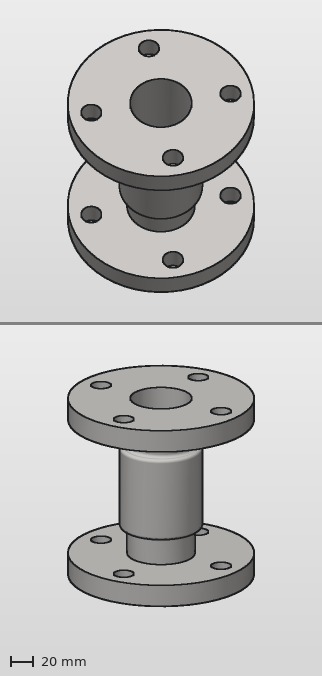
import cadquery as cq

overall_length = 166.0
flange_diameter = 165.0
flange_thickness = 20.0

pipe_diameter = 60.3
pipe_wall = 2.9
bore_diameter = pipe_diameter - 2 * pipe_wall

sleeve_diameter = 73.7
sleeve_length = 76.0
sleeve_round_radius = 3.0

bolt_circle_diameter = 125.0
bolt_hole_diameter = 18.0
bolt_count = 4
first_bolt_angle = 45.0


def cylinder(diameter, bottom, height):
    """Solid cylinder on the Z axis, starting at the given height."""
    return cq.Workplane("XY").workplane(offset=bottom).circle(diameter / 2).extrude(height)


def sleeved_pipe():
    """Pipe between the flanges with its sleeve, rounded at the sleeve's outer edges and roots."""
    pipe_length = overall_length - 2 * flange_thickness
    pipe = cylinder(pipe_diameter, -pipe_length / 2, pipe_length)
    sleeve = cylinder(sleeve_diameter, -sleeve_length / 2, sleeve_length)
    shoulder_edges = "%CIRCLE and (not >Z) and (not <Z)"
    return pipe.union(sleeve).edges(shoulder_edges).fillet(sleeve_round_radius)


def flange(bottom):
    """Flat round flange with its ring of bolt holes."""
    bolt_holes = (
        cq.Workplane("XY")
        .workplane(offset=bottom)
        .polarArray(bolt_circle_diameter / 2, first_bolt_angle, 360, bolt_count)
        .circle(bolt_hole_diameter / 2)
        .extrude(flange_thickness)
    )
    return cylinder(flange_diameter, bottom, flange_thickness).cut(bolt_holes)


body = sleeved_pipe()
for flange_bottom in (-overall_length / 2, overall_length / 2 - flange_thickness):
    body = body.union(flange(flange_bottom))

bore = cylinder(bore_diameter, -overall_length / 2, overall_length)
result = body.cut(bore)